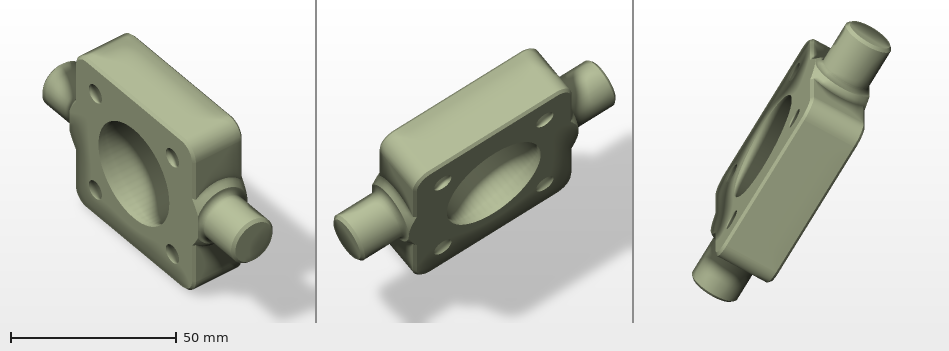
import cadquery as cq

length = 95.0
depth = 19.0
block_side = 59.0
corner_radius = 6.0
edge_chamfer = 0.9

bore_diameter = 35.0
bolt_diameter = 6.5
bolt_spacing = 38.0

trunnion_radius = 16.0 / 2
trunnion_y = -0.5
tip_chamfer = 0.95
root_fillet = 1.4
collar_face_x = 31.6
collar_radius = 10.0
collar_embed = 4.75


def make_block():
    block = cq.Workplane("XY").box(block_side, depth, block_side)
    block = block.edges("|Y").fillet(corner_radius)
    return block.faces("<Y or >Y").edges().chamfer(edge_chamfer)


def make_trunnion():
    """Pin, root fillet and conical collar on the +X side, trimmed to the block depth."""
    tip_x = length / 2
    base_x = collar_face_x - collar_embed
    fillet_center = (collar_face_x + root_fillet, trunnion_radius + root_fillet)
    diagonal = root_fillet * 0.5**0.5
    trunnion = (
        cq.Workplane("XY")
        .moveTo(base_x, 0)
        .lineTo(base_x, collar_radius + collar_embed)
        .lineTo(collar_face_x, collar_radius)
        .lineTo(collar_face_x, fillet_center[1])
        .threePointArc(
            (fillet_center[0] - diagonal, fillet_center[1] - diagonal),
            (fillet_center[0], trunnion_radius),
        )
        .lineTo(tip_x - tip_chamfer, trunnion_radius)
        .lineTo(tip_x, trunnion_radius - tip_chamfer)
        .lineTo(tip_x, 0)
        .close()
        .revolve(360, (0, 0, 0), (1, 0, 0))
        .translate((0, trunnion_y, 0))
    )
    return trunnion.intersect(cq.Workplane("XY").box(length, depth, block_side))


def make_holes():
    back_face = cq.Workplane("XZ", origin=(0, depth / 2, 0))
    bore = back_face.circle(bore_diameter / 2).extrude(depth)
    bolt_holes = (
        back_face.rect(bolt_spacing, bolt_spacing, forConstruction=True)
        .vertices()
        .circle(bolt_diameter / 2)
        .extrude(depth)
    )
    return bore.union(bolt_holes)


trunnion = make_trunnion()
body = make_block().union(trunnion).union(trunnion.mirror("YZ"))
result = body.cut(make_holes())